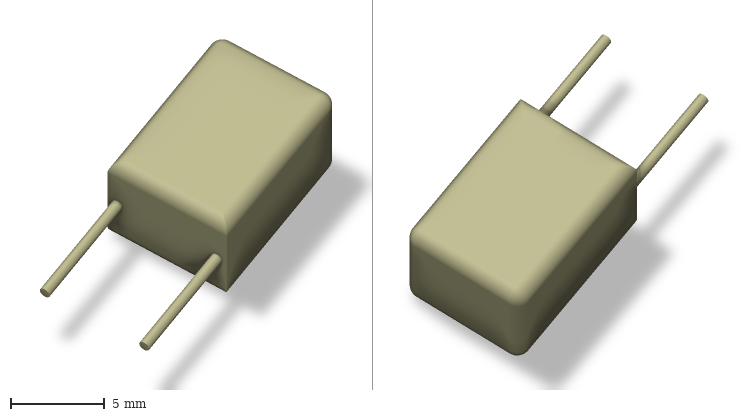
import cadquery as cq

case_width = 7.62
case_length = 10.67
case_height = 6.36
edge_radius = 0.762

lead_diameter = 0.635
lead_pitch = 6.35
lead_length = 6.99


def make_case():
    """Rounded block whose two upright edges on the lead face stay sharp."""
    block = cq.Workplane("XY").box(case_width, case_length, case_height, centered=(True, False, True))
    return block.edges("not (|Z and <Y)").fillet(edge_radius)


def make_lead(x_position):
    """Straight lead that butts against the lead face and runs out along -Y."""
    return cq.Workplane("XZ").center(x_position, 0).circle(lead_diameter / 2).extrude(lead_length)


case = make_case()
leads = [make_lead(side * lead_pitch / 2) for side in (-1, 1)]

result = cq.Compound.makeCompound([case.val(), *[lead.val() for lead in leads]])